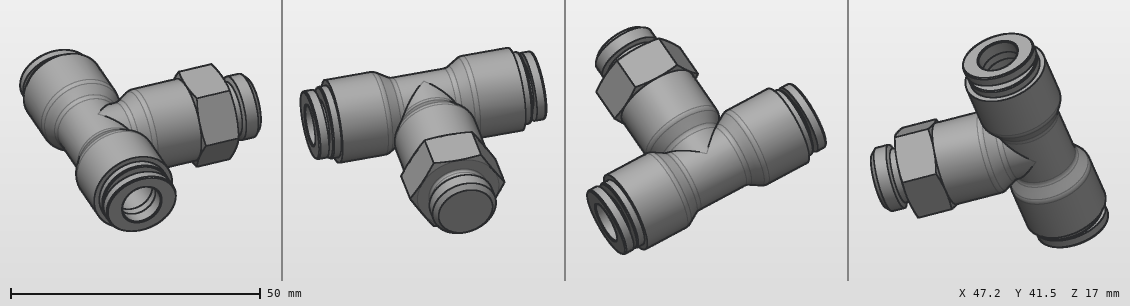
import cadquery as cq
import math


SOCKET_DIA = 16.9
NECK_DIA = 13.15
SOCKET_END = 18.97
CONE_START = 5.9
CONE_END = 9.0
CONE_FILLET = 2.0
BORE_DIA = 8.2
BORE_BOTTOM = 9.55

COLLAR_DIA = 14.7
COLLAR_END = 20.7
COLLAR_CHAMFER_LENGTH = 0.3
COLLAR_CHAMFER_DEPTH = 0.2

BUTTON_NECK_DIA = 9.6
FLANGE_START = 21.55
BUTTON_END = 23.6
FLANGE_WIDTH = 15.0
FLANGE_HEIGHT = 13.0
FLANGE_CHAMFER_LENGTH = 0.3
FLANGE_CHAMFER_DEPTH = 0.2
BORE_CHAMFER = 0.212

HEX_ACROSS_FLATS = 17.0
HEX_END = 26.9
HEX_CHAMFER_DIA = SOCKET_DIA
HEX_CHAMFER_ANGLE = 17.0
SPIGOT_DIA = 13.15
GROOVE_DIA = 11.2
GROOVE_FILLET = 0.45
SPIGOT_START = 29.4
GROOVE_CHAMFER_LENGTH = 0.45
SPIGOT_END = 33.0
SPIGOT_STEP = (SPIGOT_DIA - GROOVE_DIA) / 2


def revolved_about_x(profile):
    """Revolve a closed (axial, radial) XY profile about the X axis."""
    return profile.revolve(360, (0, 0, 0), (1, 0, 0))


def cylinder_along_x(diameter, start, end):
    return cq.Workplane("YZ", origin=(start, 0, 0)).circle(diameter / 2).extrude(end - start)


def make_arm():
    """One solid arm of the tee, from its centre out along +X."""
    neck_radius = NECK_DIA / 2
    socket_radius = SOCKET_DIA / 2
    cone_angle = math.atan2(socket_radius - neck_radius, CONE_END - CONE_START)
    tangent = CONE_FILLET * math.tan(cone_angle / 2)
    run = tangent * math.cos(cone_angle)
    rise = tangent * math.sin(cone_angle)
    profile = (
        cq.Workplane("XY")
        .lineTo(0, neck_radius)
        .lineTo(CONE_START - tangent, neck_radius)
        .tangentArcPoint((CONE_START + run, neck_radius + rise), relative=False)
        .lineTo(CONE_END - run, socket_radius - rise)
        .tangentArcPoint((CONE_END + tangent, socket_radius), relative=False)
        .lineTo(SOCKET_END, socket_radius)
        .lineTo(SOCKET_END, 0)
        .close()
    )
    return revolved_about_x(profile)


def make_tee():
    """Three equal arms joined at the centre, with a blind bore in each run end."""
    arm = make_arm()
    bore = cylinder_along_x(BORE_DIA, BORE_BOTTOM, SOCKET_END)
    branch = arm.rotate((0, 0, 0), (0, 0, 1), 90)
    tee = arm.union(arm.mirror("YZ")).union(branch)
    return tee.cut(bore).cut(bore.mirror("YZ"))


def make_collar():
    """Plain ring on the +X end of the run, chamfered at its outer edge."""
    bore_radius = BORE_DIA / 2
    radius = COLLAR_DIA / 2
    profile = cq.Workplane("XY").polyline([
        (SOCKET_END, bore_radius),
        (SOCKET_END, radius),
        (COLLAR_END - COLLAR_CHAMFER_LENGTH, radius),
        (COLLAR_END, radius - COLLAR_CHAMFER_DEPTH),
        (COLLAR_END, bore_radius),
    ]).close()
    return revolved_about_x(profile)


def make_button():
    """Release button at the +X end: round neck, oval flange and a through bore."""
    neck = cylinder_along_x(BUTTON_NECK_DIA, COLLAR_END, FLANGE_START)
    flange = (
        cq.Workplane("YZ", origin=(FLANGE_START, 0, 0))
        .ellipse(FLANGE_WIDTH / 2, FLANGE_HEIGHT / 2)
        .extrude(BUTTON_END - FLANGE_START)
        .faces(">X").edges()
        .chamfer(FLANGE_CHAMFER_LENGTH, FLANGE_CHAMFER_DEPTH)
    )
    bore = cylinder_along_x(BORE_DIA, COLLAR_END, BUTTON_END)
    return neck.union(flange).cut(bore).faces(">X").edges("%CIRCLE").chamfer(BORE_CHAMFER)


def make_hexagon():
    """Hexagon along +Y with conical chamfers at both ends and flats facing +Z and -Z."""
    across_corners = HEX_ACROSS_FLATS / math.cos(math.radians(30))
    corner_radius = across_corners / 2
    chamfer_radius = HEX_CHAMFER_DIA / 2
    chamfer_drop = (corner_radius - chamfer_radius) * math.tan(math.radians(HEX_CHAMFER_ANGLE))
    prism = (
        cq.Workplane("XZ", origin=(0, SOCKET_END, 0))
        .polygon(6, across_corners)
        .extrude(SOCKET_END - HEX_END)
    )
    envelope = (
        cq.Workplane("XY")
        .polyline([
            (0, SOCKET_END),
            (chamfer_radius, SOCKET_END),
            (corner_radius, SOCKET_END + chamfer_drop),
            (corner_radius, HEX_END - chamfer_drop),
            (chamfer_radius, HEX_END),
            (0, HEX_END),
        ])
        .close()
        .revolve(360, (0, 0, 0), (0, 1, 0))
    )
    return prism.intersect(envelope)


def make_spigot():
    """Round spigot beyond the hexagon, with a groove next to it and a chamfered tip."""
    groove_radius = GROOVE_DIA / 2
    spigot_radius = SPIGOT_DIA / 2
    return (
        cq.Workplane("XY")
        .moveTo(0, HEX_END)
        .lineTo(groove_radius + GROOVE_FILLET, HEX_END)
        .radiusArc((groove_radius, HEX_END + GROOVE_FILLET), GROOVE_FILLET)
        .lineTo(groove_radius, SPIGOT_START - GROOVE_CHAMFER_LENGTH)
        .lineTo(spigot_radius, SPIGOT_START)
        .lineTo(spigot_radius, SPIGOT_END - SPIGOT_STEP)
        .lineTo(spigot_radius - SPIGOT_STEP, SPIGOT_END)
        .lineTo(0, SPIGOT_END)
        .close()
        .revolve(360, (0, 0, 0), (0, 1, 0))
    )


def make_fitting():
    return make_hexagon().union(make_spigot())


tee = make_tee()
fitting = make_fitting()
collars = []
buttons = []
for angle in (0, 180):
    collars.append(make_collar().rotate((0, 0, 0), (0, 0, 1), angle).val())
    buttons.append(make_button().rotate((0, 0, 0), (0, 0, 1), angle).val())

result = cq.Compound.makeCompound([tee.val(), fitting.val(), *collars, *buttons])